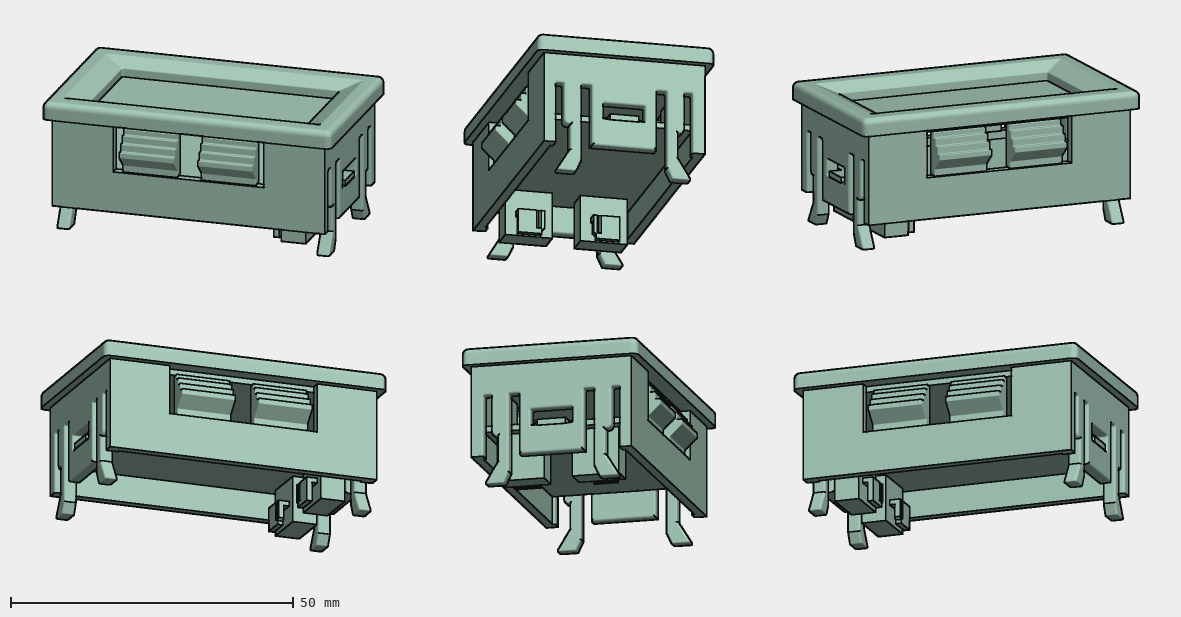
import cadquery as cq


MARGIN = 0.05

BEZEL_X, BEZEL_Y, BEZEL_HEIGHT = 53.65, 32.3, 3.15
BEZEL_ROUND = 1.1
OPENING_X, OPENING_Y = 47.75, 24.95
WINDOW_X, WINDOW_Y = 40.35, 20.2
TAPER_DEPTH = 1.6
WINDOW_CORNER_ROUND = 0.45
OPENING_CORNER_ROUND = 0.25
RIM_ROUND, WINDOW_RIM_ROUND = 0.3, 0.2
DISPLAY_THICKNESS = 1.05

BODY_X, BODY_Y, BODY_DEPTH = 50.6, 29.45, 16.5
SIDE_WALL = 1.7
END_WALL = 2.35
EDGE_ROUND = 0.4
FOOT_ROUND = 0.2

SLOT_TOP = -5.35
SLOT_CORNER = 0.25
TAB_HALF_WIDTH = 5.9
LEG_INNER, LEG_OUTER = 7.85, 11.0
POST_INNER = 12.5
LEG_STEP_Z = -13.0
LEG_STEP_ROUND = 0.95
LEG_NECK = 9.85
FOOT_OUTER_TOP, FOOT_INNER_TOP = -17.6, -19.65
FOOT_OUTER, FOOT_INNER = 12.35, 8.8
OVERALL_HEIGHT = 24.8
FOOT_BOTTOM = BEZEL_HEIGHT - OVERALL_HEIGHT
END_WINDOW_Y, END_WINDOW_HEIGHT = 7.65, 2.9
END_WINDOW_BOTTOM = -11.35

BOARD_TOP, BOARD_THICKNESS = -10.45, 1.05
BOARD_BOTTOM = BOARD_TOP - BOARD_THICKNESS
BOARD_TONGUE_Y = 5.2

CLIP_OPENING_X, CLIP_OPENING_DEPTH = 28.0, 8.95
CLIP_WIDTH, CLIP_CENTRE_X = 10.15, 7.3
CLIP_BACK, CLIP_FACE = 12.55, 14.25
OVERALL_Y = 33.0
CLIP_REACH = OVERALL_Y / 2
RIB_STEP = 0.9
RIB_TOPS = (-2.05, -3.3, -4.6)
RIB_BOTTOM = -5.6
CLIP_SLOPE_BOTTOM = -7.65
CLIP_EDGE = 0.1

CONNECTOR_BOTTOM = -20.0
CONNECTOR_X, CONNECTOR_LENGTH = 16.1, 4.55
CONNECTOR_INNER, CONNECTOR_OUTER = 2.6, 11.15
BLADE_X, BLADE_THICKNESS = 14.1, 1.0
BLADE_TOP, BLADE_TAPER_TOP, BLADE_TAPER_BOTTOM = -15.65, -18.9, -19.3
BLADE_HALF_WIDTH, BLADE_TAPER = 2.4, 0.55
GROOVE_INNER, GROOVE_OUTER, GROOVE_BOTTOM = 5.1, 5.9, -18.95
GROOVE_DEPTH = (GROOVE_OUTER - GROOVE_INNER) / 2

DIGIT_PITCH, MIDDLE_DIGIT_X = 14.05, -0.2
DIGIT_HALF_WIDTH, DIGIT_HALF_HEIGHT = 4.65, 8.05
DIGIT_SLANT = 0.2
DIGIT_ACUTE_ROUND, DIGIT_OBTUSE_ROUND = 1.4, 2.1
BAR_WIDTH = 1.8
BAR_GAP = 0.25
MIDDLE_BAR_HALF_HEIGHT = 0.85
MIDDLE_BAR_HALF_LENGTH = 3.4
UPRIGHT_GAP = 0.1
DOT_X, DOT_Y, DOT_RADIUS = 4.7, -7.1, 0.9


def box(x0, x1, y0, y1, z0, z1):
    """Axis-aligned block between two opposite corners."""
    return cq.Workplane("XY").box(x1 - x0, y1 - y0, z1 - z0, centered=False).translate((x0, y0, z0))


def both_sides(solid, plane):
    """The solid together with its mirror image."""
    return solid.union(solid.mirror(plane))


def rim_zone(height):
    """Selects the edges around the display opening at one height."""
    reach_x = OPENING_X / 2 + MARGIN
    reach_y = OPENING_Y / 2 + MARGIN
    return cq.selectors.BoxSelector(
        (-reach_x, -reach_y, height - MARGIN),
        (reach_x, reach_y, height + MARGIN),
    )


def make_bezel():
    """Rounded frame whose opening tapers down to the display window."""
    bezel = cq.Workplane("XY").box(BEZEL_X, BEZEL_Y, BEZEL_HEIGHT, centered=(True, True, False))
    bezel = bezel.edges("|Z or >Z").fillet(BEZEL_ROUND)
    window = (
        cq.Workplane("XY")
        .rect(WINDOW_X, WINDOW_Y)
        .extrude(BEZEL_HEIGHT)
        .edges("|Z")
        .fillet(WINDOW_CORNER_ROUND)
    )
    taper_bottom = cq.Sketch().rect(WINDOW_X, WINDOW_Y).vertices().fillet(WINDOW_CORNER_ROUND)
    taper_top = cq.Sketch().rect(OPENING_X, OPENING_Y).vertices().fillet(OPENING_CORNER_ROUND)
    taper = (
        cq.Workplane("XY", origin=(0, 0, BEZEL_HEIGHT - TAPER_DEPTH))
        .placeSketch(taper_bottom, taper_top.moved(cq.Location(cq.Vector(0, 0, TAPER_DEPTH))))
        .loft()
    )
    bezel = bezel.cut(window).cut(taper)
    bezel = bezel.edges(rim_zone(BEZEL_HEIGHT)).fillet(RIM_ROUND)
    return bezel.edges(rim_zone(BEZEL_HEIGHT - TAPER_DEPTH)).fillet(WINDOW_RIM_ROUND)


def make_side_walls():
    """The two long walls, each with one opening for a pair of clips."""
    half_y = BODY_Y / 2
    wall = box(-BODY_X / 2, BODY_X / 2, -half_y, -half_y + SIDE_WALL, -BODY_DEPTH, 0)
    half_opening = CLIP_OPENING_X / 2
    wall = wall.cut(box(-half_opening, half_opening, -half_y, 0, -CLIP_OPENING_DEPTH, 0))
    return both_sides(wall, "XZ")


def end_wall_gap():
    """The space either side of one leg, between the centre tab and the corner post."""
    gap = box(0, END_WALL, TAB_HALF_WIDTH, POST_INNER, FOOT_BOTTOM, SLOT_TOP)
    leg = (
        cq.Workplane("YZ")
        .moveTo(LEG_INNER, SLOT_TOP)
        .lineTo(LEG_OUTER, SLOT_TOP)
        .lineTo(LEG_OUTER, LEG_STEP_Z + LEG_STEP_ROUND)
        .radiusArc((LEG_OUTER - LEG_STEP_ROUND, LEG_STEP_Z), LEG_STEP_ROUND)
        .lineTo(LEG_NECK, LEG_STEP_Z)
        .lineTo(LEG_NECK, FOOT_OUTER_TOP)
        .lineTo(FOOT_OUTER, FOOT_BOTTOM)
        .lineTo(FOOT_INNER, FOOT_BOTTOM)
        .lineTo(LEG_INNER, FOOT_INNER_TOP)
        .close()
        .extrude(END_WALL)
    )
    return gap.cut(leg)


def make_end_walls():
    """The two short walls, each with a windowed centre tab and two splayed legs."""
    half_y = BODY_Y / 2
    wall = box(0, END_WALL, -half_y, half_y, FOOT_BOTTOM, 0)
    wall = wall.cut(both_sides(end_wall_gap().edges("|X and >Z").fillet(SLOT_CORNER), "XZ"))
    below = FOOT_BOTTOM, -BODY_DEPTH
    wall = wall.cut(box(0, END_WALL, -TAB_HALF_WIDTH, TAB_HALF_WIDTH, *below))
    wall = wall.cut(both_sides(box(0, END_WALL, POST_INNER, half_y, *below), "XZ"))
    window_top = END_WINDOW_BOTTOM + END_WINDOW_HEIGHT
    window = box(0, END_WALL, -END_WINDOW_Y / 2, END_WINDOW_Y / 2, END_WINDOW_BOTTOM, window_top)
    wall = wall.cut(window.edges("|X").fillet(SLOT_CORNER))

    reach_y = POST_INNER + MARGIN
    rounded_zone = cq.selectors.BoxSelector(
        (-MARGIN, -reach_y, FOOT_BOTTOM + MARGIN),
        (END_WALL + MARGIN, reach_y, SLOT_TOP + MARGIN),
    )
    wall = wall.faces("<X or >X").edges(rounded_zone).fillet(EDGE_ROUND)
    wall = wall.faces("<Z").edges().fillet(FOOT_ROUND)
    return both_sides(wall.translate((-BODY_X / 2, 0, 0)), "YZ")


def make_display():
    """Slab that closes the bottom of the bezel."""
    return box(
        -BODY_X / 2 + END_WALL,
        BODY_X / 2 - END_WALL,
        -BODY_Y / 2 + SIDE_WALL,
        BODY_Y / 2 - SIDE_WALL,
        -DISPLAY_THICKNESS,
        0,
    )


def make_board():
    """Circuit board with a tongue through the window of each end wall."""
    inner_x = BODY_X / 2 - END_WALL
    inner_y = BODY_Y / 2 - SIDE_WALL
    board = box(-inner_x, inner_x, -inner_y, inner_y, BOARD_BOTTOM, BOARD_TOP)
    half_tongue = BOARD_TONGUE_Y / 2
    return board.union(
        box(-BODY_X / 2, BODY_X / 2, -half_tongue, half_tongue, BOARD_BOTTOM, BOARD_TOP)
    )


def make_clips():
    """Four stepped clips whose ribs reach further out towards the bottom."""
    reach = CLIP_REACH - len(RIB_TOPS) * RIB_STEP
    outline = [(CLIP_BACK, -DISPLAY_THICKNESS), (reach, -DISPLAY_THICKNESS)]
    for rib_top in RIB_TOPS:
        outline.append((reach, rib_top))
        reach += RIB_STEP
        outline.append((reach, rib_top))
    outline += [
        (CLIP_REACH, RIB_BOTTOM),
        (CLIP_FACE, CLIP_SLOPE_BOTTOM),
        (CLIP_FACE, -CLIP_OPENING_DEPTH),
        (CLIP_BACK, -CLIP_OPENING_DEPTH),
    ]
    clip = (
        cq.Workplane("YZ", origin=(CLIP_CENTRE_X, 0, 0))
        .polyline(outline)
        .close()
        .extrude(CLIP_WIDTH / 2, both=True)
    )
    front_zone = cq.selectors.BoxSelector((0, CLIP_BACK + MARGIN, -BODY_DEPTH), (BODY_X, BODY_Y, 0))
    clip = clip.edges(front_zone).fillet(CLIP_EDGE)
    return both_sides(both_sides(clip, "XZ"), "YZ")


def make_connectors():
    """A block under the board with a grooved blade beside it, on either side of the centre."""
    middle = (CONNECTOR_INNER + CONNECTOR_OUTER) / 2
    block = box(
        CONNECTOR_X,
        CONNECTOR_X + CONNECTOR_LENGTH,
        CONNECTOR_INNER,
        CONNECTOR_OUTER,
        CONNECTOR_BOTTOM,
        BOARD_BOTTOM,
    )
    blade = (
        cq.Workplane("YZ", origin=(BLADE_X, 0, 0))
        .moveTo(middle - BLADE_HALF_WIDTH, BLADE_TOP)
        .lineTo(middle + BLADE_HALF_WIDTH, BLADE_TOP)
        .lineTo(middle + BLADE_HALF_WIDTH, CONNECTOR_BOTTOM)
        .lineTo(middle - BLADE_HALF_WIDTH + BLADE_TAPER, CONNECTOR_BOTTOM)
        .lineTo(middle - BLADE_HALF_WIDTH + BLADE_TAPER, BLADE_TAPER_BOTTOM)
        .lineTo(middle - BLADE_HALF_WIDTH, BLADE_TAPER_TOP)
        .close()
        .extrude(BLADE_THICKNESS)
    )
    bridge = box(
        BLADE_X,
        CONNECTOR_X,
        middle - BLADE_HALF_WIDTH,
        middle + BLADE_HALF_WIDTH,
        -BODY_DEPTH,
        BLADE_TOP,
    )
    groove = (
        cq.Workplane("XY", origin=(0, 0, GROOVE_BOTTOM))
        .polyline(
            [
                (BLADE_X, GROOVE_INNER),
                (BLADE_X, GROOVE_OUTER),
                (BLADE_X + GROOVE_DEPTH, (GROOVE_INNER + GROOVE_OUTER) / 2),
            ]
        )
        .close()
        .extrude(BLADE_TOP - GROOVE_BOTTOM)
    )
    connector = block.union(bridge).union(blade).cut(groove)
    return both_sides(connector, "XZ")


def segment(points, centre_x):
    """Slanted inlay of the display from an upright outline around the digit's centre."""
    slanted = [(centre_x + x + DIGIT_SLANT * y, y) for x, y in points]
    return cq.Workplane("XY").polyline(slanted).close().extrude(-DISPLAY_THICKNESS)


def make_digit(centre_x):
    """The seven segments of one digit and its decimal point."""
    inner = DIGIT_HALF_WIDTH - BAR_WIDTH
    top = DIGIT_HALF_HEIGHT
    bar_end = inner - BAR_GAP
    shoulder = MIDDLE_BAR_HALF_HEIGHT + BAR_GAP
    waist = MIDDLE_BAR_HALF_LENGTH + BAR_GAP
    parts = []
    for side_y in (1, -1):
        bar = [(-bar_end, top), (bar_end, top), (bar_end, top - BAR_WIDTH), (-bar_end, top - BAR_WIDTH)]
        parts.append(segment([(x, side_y * y) for x, y in bar], centre_x))
        for side_x in (1, -1):
            upright = [
                (inner, top),
                (DIGIT_HALF_WIDTH, top),
                (DIGIT_HALF_WIDTH, UPRIGHT_GAP),
                (waist, UPRIGHT_GAP),
                (inner, shoulder),
            ]
            corner_x = centre_x + side_x * DIGIT_HALF_WIDTH + DIGIT_SLANT * side_y * top
            corner = cq.selectors.NearestToPointSelector((corner_x, side_y * top, -DISPLAY_THICKNESS / 2))
            bar = segment([(side_x * x, side_y * y) for x, y in upright], centre_x)
            corner_round = DIGIT_ACUTE_ROUND if side_x == side_y else DIGIT_OBTUSE_ROUND
            parts.append(bar.edges("|Z").edges(corner).fillet(corner_round))
    flat = MIDDLE_BAR_HALF_LENGTH - MIDDLE_BAR_HALF_HEIGHT
    half = MIDDLE_BAR_HALF_HEIGHT
    tip = MIDDLE_BAR_HALF_LENGTH
    middle_bar = [(-tip, 0), (-flat, half), (flat, half), (tip, 0), (flat, -half), (-flat, -half)]
    parts.append(segment(middle_bar, centre_x))
    dot = cq.Workplane("XY").center(centre_x + DOT_X, DOT_Y).circle(DOT_RADIUS)
    parts.append(dot.extrude(-DISPLAY_THICKNESS))
    return parts


result = make_bezel().union(make_display())
for body_part in (make_side_walls(), make_end_walls(), make_board(), make_clips(), make_connectors()):
    result = result.union(body_part)

inlays = cq.Workplane("XY")
for digit in (-1, 0, 1):
    for inlay in make_digit(MIDDLE_DIGIT_X + digit * DIGIT_PITCH):
        inlays = inlays.add(inlay)
inlays = inlays.combine()
result = result.cut(inlays, clean=False).union(inlays, clean=False)